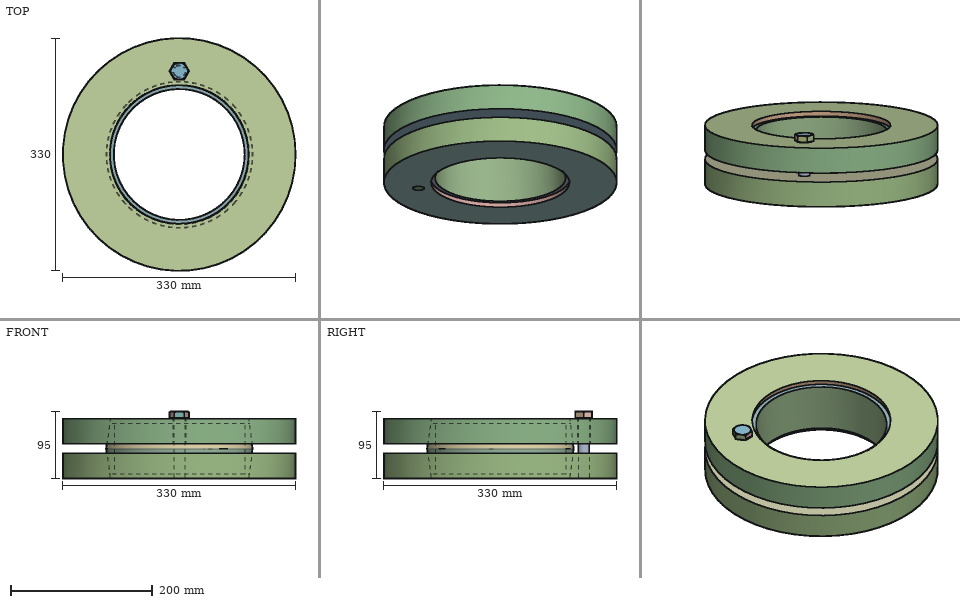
import cadquery as cq
import math

flange_diameter = 330.0
flange_thickness = 36.0
flange_gap = 13.0
stack_height = 2 * flange_thickness + flange_gap
middle_height = stack_height / 2

ring_bore_diameter = 185.0
ring_middle_diameter = 208.0
taper_mouth_diameter = 196.0
ring_end_recess = 7.0
taper_slope = (ring_middle_diameter - taper_mouth_diameter) / 2 / middle_height
ring_half_height = middle_height - ring_end_recess

bolt_y = 118.0
bolt_diameter = 16.0
clearance_hole_diameter = 18.0
head_height = 10.0
head_across_flats = 24.0
head_across_corners = head_across_flats / math.cos(math.radians(30))
head_top_diameter = head_across_flats
head_chamfer_angle = 30.0
washer_face_diameter = 22.0
washer_face_height = 0.8


def taper_radius(distance_from_middle):
    """Radius of the shared conical surface at a distance above or below the middle."""
    return ring_middle_diameter / 2 - taper_slope * distance_from_middle


def make_flange(bottom, hole_diameter):
    """Disc with a conical bore that is widest on the side facing the gap, and one bolt hole."""
    top = bottom + flange_thickness
    outer_radius = flange_diameter / 2
    bottom_bore_radius = taper_radius(abs(bottom - middle_height))
    top_bore_radius = taper_radius(abs(top - middle_height))
    disc = (
        cq.Workplane("XZ")
        .moveTo(bottom_bore_radius, bottom)
        .lineTo(outer_radius, bottom)
        .lineTo(outer_radius, top)
        .lineTo(top_bore_radius, top)
        .close()
        .revolve(360, (0, 0), (0, 1))
    )
    bolt_hole = (
        cq.Workplane("XY", origin=(0, bolt_y, bottom))
        .circle(hole_diameter / 2)
        .extrude(flange_thickness)
    )
    return disc.cut(bolt_hole)


def make_taper_ring():
    """Ring with a double-tapered outside that fills the conical bores of both flanges."""
    bore_radius = ring_bore_diameter / 2
    end_radius = taper_radius(ring_half_height)
    bottom = middle_height - ring_half_height
    top = middle_height + ring_half_height
    return (
        cq.Workplane("XZ")
        .moveTo(bore_radius, bottom)
        .lineTo(end_radius, bottom)
        .lineTo(taper_radius(0), middle_height)
        .lineTo(end_radius, top)
        .lineTo(bore_radius, top)
        .close()
        .revolve(360, (0, 0), (0, 1))
    )


def make_bolt():
    """Bolt with a chamfered hexagon head, a washer face and a shank reaching the lower face."""
    hexagon_height = head_height - washer_face_height
    hexagon_bottom = stack_height + washer_face_height
    head_top = stack_height + head_height
    hexagon = (
        cq.Workplane("XY", origin=(0, bolt_y, hexagon_bottom))
        .polygon(6, head_across_corners)
        .extrude(hexagon_height)
    )

    blank_radius = head_across_corners / 2
    blank_top_radius = head_top_diameter / 2
    chamfer_drop = (blank_radius - blank_top_radius) * math.tan(math.radians(head_chamfer_angle))
    blank = (
        cq.Workplane("XZ", origin=(0, bolt_y, 0))
        .moveTo(0, hexagon_bottom)
        .lineTo(blank_radius, hexagon_bottom)
        .lineTo(blank_radius, head_top - chamfer_drop)
        .lineTo(blank_top_radius, head_top)
        .lineTo(0, head_top)
        .close()
        .revolve(360, (0, 0), (0, 1))
    )
    washer_face = (
        cq.Workplane("XY", origin=(0, bolt_y, stack_height))
        .circle(washer_face_diameter / 2)
        .extrude(washer_face_height)
    )
    shank = (
        cq.Workplane("XY", origin=(0, bolt_y, 0))
        .circle(bolt_diameter / 2)
        .extrude(stack_height)
    )
    return hexagon.intersect(blank).union(washer_face).union(shank)


lower_flange = make_flange(0, bolt_diameter)
upper_flange = make_flange(flange_thickness + flange_gap, clearance_hole_diameter)
taper_ring = make_taper_ring()
bolt = make_bolt()

result = cq.Compound.makeCompound(
    [lower_flange.val(), upper_flange.val(), taper_ring.val(), bolt.val()]
)